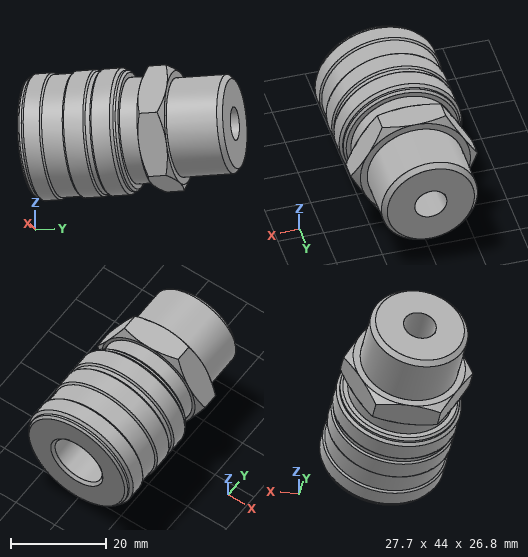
import math

import cadquery as cq


sleeve_length = 22.0
hex_start = 26.0
hex_width = 6.0
total_length = 44.0

sleeve_radius = 13.4
sleeve_groove_radius = 13.0
sleeve_lip_radius = 12.8
lip_chamfer = 0.5
lip_length = 1.0
wide_groove_start = 5.1
wide_groove_end = 10.4
narrow_groove_start = 14.6
narrow_groove_end = 16.4

neck_radius = 11.25
hex_across_flats = 24.0
hex_chamfer_angle = 30.0
envelope_clearance = 1.0
thread_radius = 10.5
thread_chamfer = 1.0

through_radius = 3.5
socket_radius = 6.05
socket_mouth_radius = 6.7
socket_depth = sleeve_length


def revolve_profile(points):
    """Turn a closed (radius, y) outline about the Y axis."""
    return cq.Workplane("XY").polyline(points).close().revolve(360, (0, 0), (0, 1))


def make_sleeve():
    """Sleeve with a chamfered lip at each end and a sloped shoulder behind it."""
    face_radius = sleeve_lip_radius - lip_chamfer
    shoulder_y = lip_length + sleeve_radius - sleeve_lip_radius
    return revolve_profile([
        (0, 0),
        (face_radius, 0),
        (sleeve_lip_radius, lip_chamfer),
        (sleeve_lip_radius, lip_length),
        (sleeve_radius, shoulder_y),
        (sleeve_radius, sleeve_length - shoulder_y),
        (sleeve_lip_radius, sleeve_length - lip_length),
        (sleeve_lip_radius, sleeve_length - lip_chamfer),
        (face_radius, sleeve_length),
        (0, sleeve_length),
    ])


def make_groove(start, end):
    """Ring cutter for a grip groove with 45 degree walls."""
    depth = sleeve_radius - sleeve_groove_radius
    outer_radius = sleeve_radius + depth
    return revolve_profile([
        (sleeve_groove_radius, start + depth),
        (outer_radius, start - depth),
        (outer_radius, end + depth),
        (sleeve_groove_radius, end - depth),
    ])


def make_hexagon():
    """Hexagon with flats facing +Z and -Z and conically chamfered corners."""
    flat_radius = hex_across_flats / 2
    corner_radius = flat_radius / math.cos(math.pi / 6)
    hex_end = hex_start + hex_width
    hexagon = (
        cq.Workplane("XZ", origin=(0, hex_start, 0))
        .polygon(6, 2 * corner_radius)
        .extrude(-hex_width)
    )
    envelope_radius = corner_radius + envelope_clearance
    cone_height = (envelope_radius - flat_radius) * math.tan(math.radians(hex_chamfer_angle))
    envelope = revolve_profile([
        (0, hex_start),
        (flat_radius, hex_start),
        (envelope_radius, hex_start + cone_height),
        (envelope_radius, hex_end - cone_height),
        (flat_radius, hex_end),
        (0, hex_end),
    ])
    return hexagon.intersect(envelope)


def make_stem():
    """Neck from the sleeve to the hexagon, then the chamfered threaded end."""
    return revolve_profile([
        (0, 0),
        (neck_radius, 0),
        (neck_radius, hex_start),
        (thread_radius, hex_start),
        (thread_radius, total_length - thread_chamfer),
        (thread_radius - thread_chamfer, total_length),
        (0, total_length),
    ])


def make_bore():
    """Countersunk socket bore stepping down to the through hole."""
    countersink_depth = socket_mouth_radius - socket_radius
    return revolve_profile([
        (0, 0),
        (socket_mouth_radius, 0),
        (socket_radius, countersink_depth),
        (socket_radius, socket_depth),
        (through_radius, socket_depth),
        (through_radius, total_length),
        (0, total_length),
    ])


sleeve = make_sleeve()
for groove_start, groove_end in (
    (wide_groove_start, wide_groove_end),
    (narrow_groove_start, narrow_groove_end),
):
    sleeve = sleeve.cut(make_groove(groove_start, groove_end))

result = sleeve.union(make_stem()).union(make_hexagon()).cut(make_bore())